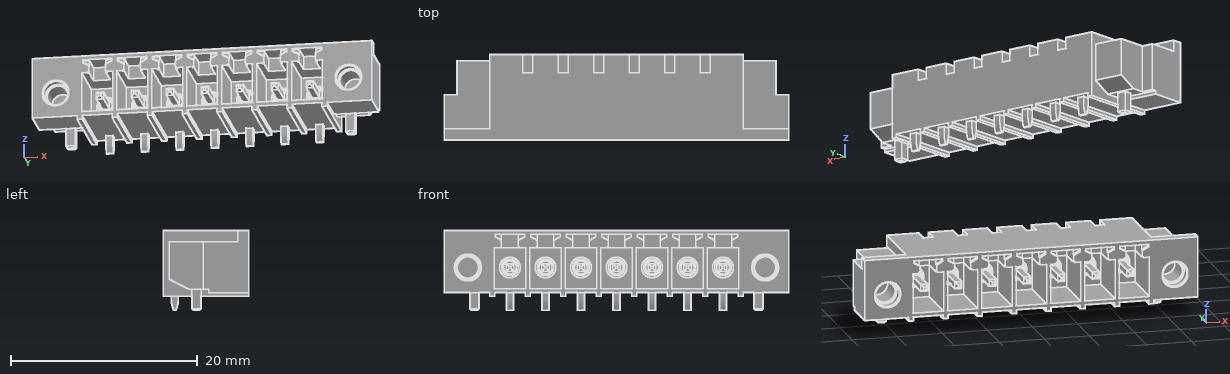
import cadquery as cq


contact_count = 7
pitch = 3.8
row_positions = [(i - (contact_count - 1) / 2) * pitch for i in range(contact_count)]
wall_positions = [(i - contact_count / 2) * pitch for i in range(contact_count + 1)]
contact_height = 3.1

overall_length = 36.95
depth = 9.2
top = 7.1
underside = 0.4
foot_width = 0.55
body_length = contact_count * pitch + foot_width

flange_thickness = 1.22
block_top = 5.88
block_step_depth = 4.88
block_inner_length = 34.22
block_back = 8.55
block_heel = 4.32
block_underside = 0.78
block_slope_start = 6.43
block_slope_top = 1.85

notch_width = 1.07
notch_depth = 2.0

cavity_width = 3.35
cavity_bottom = 0.85
cavity_top = 5.2
cavity_depth = 6.0

key_top = 6.65
key_wing_width = 3.18
key_wing_edge = 6.4
key_wing_bottom = 6.02
key_width = 1.8
key_mouth_flare = 0.15
key_mouth_depth = 0.35
key_slot_depth = 3.0

boss_base_radius = 1.1
boss_middle_radius = 0.9
boss_top_radius = 0.7
boss_base_step = 0.45
boss_top_step = 0.15

screw_spacing = 31.85
screw_recess_radius = 1.33
screw_recess_depth = 1.22
screw_chamfer = 0.1
screw_bore_radius = 1.15
screw_bore_depth = 4.32

pin_size = 0.78
pin_tip_size = 0.25
pin_tip_length = 0.37
pin_front = 1.4
leg_y = 7.95
leg_bottom = -1.48
leg_taper_start = -0.4
leg_tip_size = 0.25
leg_bulge = 0.1

peg_spacing = 30.45
peg_size = 1.0
peg_y = 5.6
peg_chamfer = 0.2


def block(x_size, y_start, y_end, z_start, z_end, x_center=0):
    """Box centred on x_center, spanning the given Y and Z ranges."""
    box = cq.Workplane("XY").box(x_size, y_end - y_start, z_end - z_start, centered=(True, False, False))
    return box.translate((x_center, y_start, z_start))


def facing_front(x, y, z):
    """Workplane whose normal points along +Y, into the housing; local axes are X and -Z."""
    return cq.Workplane(cq.Plane(origin=(x, y, z), xDir=(1, 0, 0), normal=(0, 1, 0)))


def make_end_blocks():
    """Full-length profile with a sloped back underside, narrowed behind block_step_depth."""
    profile = [
        (0, underside),
        (block_heel, underside),
        (block_heel, block_underside),
        (block_slope_start, block_underside),
        (block_back, block_slope_top),
        (block_back, block_top),
        (flange_thickness, block_top),
        (flange_thickness, top),
        (0, top),
    ]
    blocks = cq.Workplane("YZ").polyline(profile).close().extrude(overall_length / 2, both=True)
    end_step = (overall_length - block_inner_length) / 2
    for side in (-1, 1):
        step_x = side * (overall_length - end_step) / 2
        blocks = blocks.cut(block(end_step, block_step_depth, depth, 0, top, step_x))
    return blocks


def make_boss(x):
    """Two stacked cones rising from the cavity floor towards the mating face."""
    boss_top = cavity_depth - boss_base_step - boss_top_step
    boss_profile = [
        (0, cavity_depth),
        (boss_base_radius, cavity_depth),
        (boss_middle_radius, cavity_depth - boss_base_step),
        (boss_top_radius, boss_top),
        (0, boss_top),
    ]
    boss = cq.Workplane("XY").polyline(boss_profile).close().revolve(360, (0, 0, 0), (0, 1, 0))
    return boss.translate((x, 0, contact_height))


def make_cavity(x):
    """Space taken by a plug: rectangular cavity, keyway slot and the winged, flared mouth of the keyway."""
    half_wing = key_wing_width / 2
    half_key = key_width / 2
    mouth_profile = [
        (-half_key - key_mouth_flare, cavity_top),
        (-half_key, cavity_top + key_mouth_flare),
        (-half_key, key_wing_bottom),
        (-half_wing, key_wing_edge),
        (-half_wing, key_top),
        (half_wing, key_top),
        (half_wing, key_wing_edge),
        (half_key, key_wing_bottom),
        (half_key, cavity_top + key_mouth_flare),
        (half_key + key_mouth_flare, cavity_top),
    ]
    cavity = block(cavity_width, 0, cavity_depth, cavity_bottom, cavity_top)
    key_slot = block(key_width, 0, key_slot_depth, cavity_top, key_top)
    mouth = cq.Workplane("XZ").polyline(mouth_profile).close().extrude(-key_mouth_depth)
    return cavity.union(key_slot).union(mouth).translate((x, 0, 0)).cut(make_boss(x))


def make_screw_hole(x):
    """Chamfered recess with a narrower blind bore behind it."""
    recess = facing_front(x, 0, contact_height).circle(screw_recess_radius).extrude(screw_recess_depth)
    mouth = facing_front(x, 0, contact_height).circle(screw_recess_radius + screw_chamfer)
    mouth = mouth.workplane(offset=screw_chamfer).circle(screw_recess_radius).loft()
    bore = facing_front(x, 0, contact_height).circle(screw_bore_radius).extrude(screw_bore_depth)
    return recess.union(mouth).union(bore)


def make_contact(x):
    """Square pin with a pyramid tip, bent down into a leg that narrows along curved front and back faces."""
    leg_back = leg_y + pin_size / 2
    pin_start = pin_front + pin_tip_length
    half_pin = pin_size / 2
    pin = block(pin_size, pin_start, leg_back, contact_height - half_pin, contact_height + half_pin)
    tip = facing_front(0, pin_front, contact_height).rect(pin_tip_size, pin_tip_size)
    tip = tip.workplane(offset=pin_tip_length).rect(pin_size, pin_size).loft()

    half_tip = leg_tip_size / 2
    bulge_z = (leg_taper_start + leg_bottom) / 2
    bulge_half = (half_pin + half_tip) / 2 + leg_bulge / 2
    leg = (
        cq.Workplane("YZ")
        .moveTo(leg_y - half_pin, contact_height)
        .lineTo(leg_y - half_pin, leg_taper_start)
        .threePointArc((leg_y - bulge_half, bulge_z), (leg_y - half_tip, leg_bottom))
        .lineTo(leg_y + half_tip, leg_bottom)
        .threePointArc((leg_y + bulge_half, bulge_z), (leg_y + half_pin, leg_taper_start))
        .lineTo(leg_y + half_pin, contact_height)
        .close()
        .extrude(half_pin, both=True)
    )
    return pin.union(tip).union(leg).translate((x, 0, 0))


def make_peg(x):
    """Square peg under an end block, chamfered around its lower end."""
    peg = block(peg_size, peg_y - peg_size / 2, peg_y + peg_size / 2, leg_bottom, block_underside, x)
    return peg.faces("<Z").chamfer(peg_chamfer)


def make_housing(contacts):
    housing = block(body_length, 0, depth, underside, top).union(make_end_blocks())
    for x in wall_positions:
        housing = housing.union(block(foot_width, 0, depth, 0, underside, x))
    for x in wall_positions[1:-1]:
        housing = housing.cut(block(notch_width, depth - notch_depth, depth, block_top, top, x))
    for x in row_positions:
        housing = housing.cut(make_cavity(x))
    for side in (-1, 1):
        housing = housing.cut(make_screw_hole(side * screw_spacing / 2))
    for contact in contacts:
        housing = housing.cut(contact)
    return housing


contacts = [make_contact(x) for x in row_positions]
pegs = [make_peg(side * peg_spacing / 2) for side in (-1, 1)]
housing = make_housing(contacts)

result = cq.Compound.makeCompound(
    [housing.val(), *[contact.val() for contact in contacts], *[peg.val() for peg in pegs]]
)